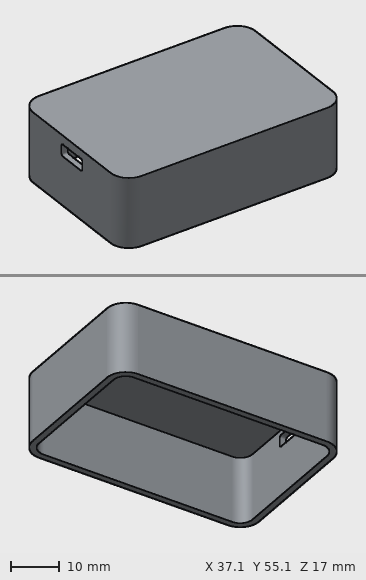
import cadquery as cq

cavity_width = 34.0
cavity_length = 52.0
cavity_corner_radius = 3.0
wall = 1.55

total_height = 17.0
top_thickness = 1.0
wall_height = total_height - top_thickness

slot_width = 7.5
slot_height = 2.85
slot_corner_radius = 0.5
slot_top_gap = 1.2

outer_width = cavity_width + 2 * wall
outer_length = cavity_length + 2 * wall
outer_corner_radius = cavity_corner_radius + wall


def rounded_block(width, length, height, radius):
    """Upright block centred on the Z axis, with rounded vertical edges and its base at Z = 0."""
    block = cq.Workplane("XY").rect(width, length).extrude(height)
    return block.edges("|Z").fillet(radius)


def wall_ring():
    """Side walls around a cavity that is open at the bottom."""
    outside = rounded_block(outer_width, outer_length, wall_height, outer_corner_radius)
    cavity = rounded_block(cavity_width, cavity_length, wall_height, cavity_corner_radius)
    return outside.cut(cavity)


def top_plate():
    """Plate that closes the walls at the top."""
    plate = rounded_block(outer_width, outer_length, top_thickness, outer_corner_radius)
    return plate.translate((0, 0, wall_height))


def slot_cutter():
    """Rounded bar that passes through the -Y wall only."""
    slot_center_z = wall_height - slot_top_gap - slot_height / 2
    wall_center_y = -(cavity_length + wall) / 2
    bar_length = 2 * wall
    bar = cq.Workplane("XY").box(slot_width, bar_length, slot_height)
    bar = bar.edges("|Y").fillet(slot_corner_radius)
    return bar.translate((0, wall_center_y, slot_center_z))


result = wall_ring().union(top_plate(), clean=False).cut(slot_cutter(), clean=False)